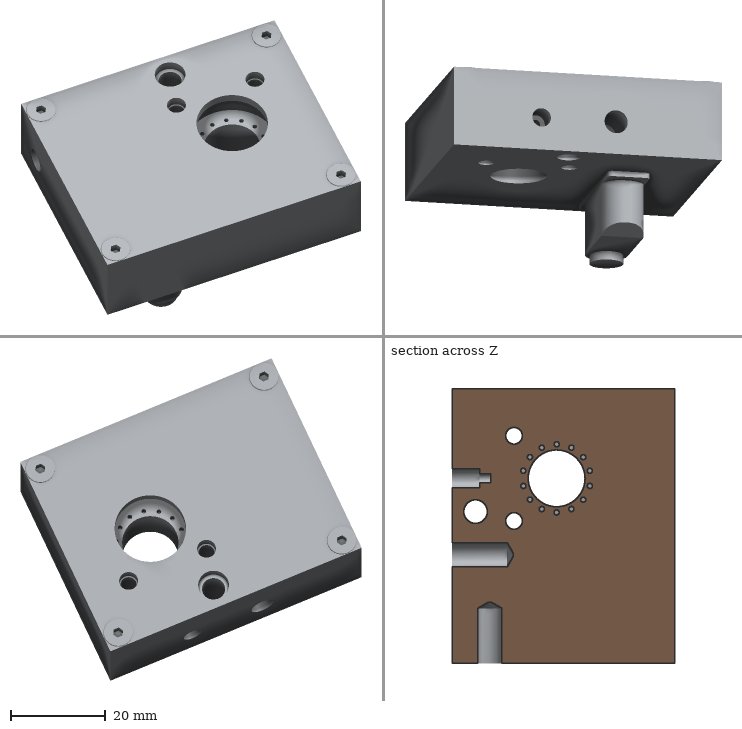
import cadquery as cq
import math

block_x = 47.0
block_y = 58.0
block_z = 17.0
overlap = 0.6

screw_inset = 3.2
screw_head_d = 6.25
screw_head_rise = 0.2
screw_head_chamfer = 0.1
hex_flats = 2.0
hex_depth = 1.75

bore_x = -1.45
bore_y = 10.05
bore_top_d = 15.1
bore_bottom_d = 11.9
top_wall = 2.0
chamber_d = 19.7
chamber_floor_depth = 8.0
recess_left = 4.95
recess_right = 17.1
recess_half_y = 11.15
recess_floor_step = 0.1

ring_count = 14
ring_radius = 7.2
ring_hole_d = 1.0
ring_hole_depth = 1.75

mount_offset = 9.0
mount_d = 3.4
mount_counterbore_d = 4.0
mount_counterbore_depth = 2.2
port_x = -18.55
port_y = 3.0
port_d = 4.9
port_counterbore_d = 6.5
port_counterbore_depth = 2.2

side_hole_z = 7.0
drill_d = 5.0
drill_depth = 11.6
drill_tip_angle = 118.0
front_drill_x = -15.55
left_drill_y = -6.1
pin_hole_d = 2.0
pin_hole_depth = 8.1
pin_counterbore_d = 4.0
pin_counterbore_depth = 5.8

connector_x = 4.45
connector_y = -12.0
connector_width = 9.05
flange_length = 29.0
flange_thickness = 1.15
flange_corner_r = 1.0
body_length = 23.5
body_bottom = 12.45
body_corner_r = 4.05
body_chamfer_height = 2.1
peg_d = 7.2
peg_bottom = 14.3


def cylinder(x, y, z_bottom, z_top, diameter):
    """Vertical cylinder between two heights."""
    return (
        cq.Workplane("XY", origin=(x, y, z_bottom))
        .circle(diameter / 2)
        .extrude(z_top - z_bottom)
    )


def stepped_hole(x, y, diameter, counterbore_d, counterbore_depth):
    """Through hole with a counterbore from the top face."""
    through = cylinder(x, y, 0, block_z, diameter)
    counterbore = cylinder(x, y, block_z - counterbore_depth, block_z, counterbore_d)
    return through.union(counterbore)


def drilled_hole(plane):
    """Blind hole with a conical tip, running along the normal of the plane."""
    radius = drill_d / 2
    tip = radius / math.tan(math.radians(drill_tip_angle / 2))
    shaft = cq.Workplane(plane).circle(radius).extrude(drill_depth)
    cone = cq.Solid.makeCone(
        radius, 0, tip, plane.origin + plane.zDir * drill_depth, plane.zDir
    )
    return shaft.union(cq.Workplane(cone))


def pin_hole(plane):
    """Blind pin hole with a wider entry, running along the normal of the plane."""
    pin = cq.Workplane(plane).circle(pin_hole_d / 2).extrude(pin_hole_depth)
    entry = cq.Workplane(plane).circle(pin_counterbore_d / 2).extrude(pin_counterbore_depth)
    return pin.union(entry)


def left_side_plane(y):
    """Plane on the -X face, its normal pointing into the block."""
    return cq.Plane(origin=(-block_x / 2, y, side_hole_z), xDir=(0, 1, 0), normal=(1, 0, 0))


def main_bore():
    """Bore, chamber, side recess and floor holes as one cutting body."""
    floor_z = block_z - chamber_floor_depth
    ceiling_z = block_z - top_wall
    cutter = cylinder(bore_x, bore_y, 0, block_z, bore_bottom_d)
    cutter = cutter.union(cylinder(bore_x, bore_y, ceiling_z, block_z, bore_top_d))
    cutter = cutter.union(cylinder(bore_x, bore_y, floor_z, ceiling_z, chamber_d))

    recess_z = floor_z - recess_floor_step
    recess = (
        cq.Workplane("XY", origin=(bore_x, bore_y, recess_z))
        .center((recess_left + recess_right) / 2, 0)
        .rect(recess_right - recess_left, 2 * recess_half_y)
        .extrude(ceiling_z - recess_z)
    )
    recess = recess.cut(cylinder(bore_x, bore_y, recess_z, floor_z, chamber_d))
    cutter = cutter.union(recess)

    ring = (
        cq.Workplane("XY", origin=(bore_x, bore_y, floor_z))
        .polarArray(ring_radius, 90, 360, ring_count)
        .circle(ring_hole_d / 2)
        .extrude(-ring_hole_depth)
    )
    return cutter.union(ring)


def screw_head(x, y):
    """Low screw head, sunk into the block so that the two join."""
    head = cylinder(x, y, block_z - overlap, block_z + screw_head_rise, screw_head_d)
    return head.faces(">Z").chamfer(screw_head_chamfer)


def hex_socket(x, y):
    """Hexagon socket with two flats facing +X and -X."""
    across_corners = hex_flats / math.cos(math.radians(30))
    return (
        cq.Workplane("XY", origin=(x, y, block_z + screw_head_rise))
        .transformed(rotate=(0, 0, 30))
        .polygon(6, across_corners)
        .extrude(-hex_depth)
    )


def connector():
    """Flange, rounded body with a sloped lower edge, and a peg."""
    base = cq.Workplane("XY", origin=(connector_x, connector_y, overlap))
    flange = (
        base.rect(flange_length, connector_width)
        .extrude(-(overlap + flange_thickness))
        .edges("|Z")
        .fillet(flange_corner_r)
    )
    body = (
        base.rect(body_length, connector_width)
        .extrude(-(overlap + body_bottom))
        .edges("|Z")
        .fillet(body_corner_r)
    )

    left = connector_x - body_length / 2
    wedge = (
        cq.Workplane("XZ", origin=(0, connector_y, 0))
        .moveTo(left, -body_bottom)
        .lineTo(left + body_corner_r, -body_bottom)
        .lineTo(left, -body_bottom + body_chamfer_height)
        .close()
        .extrude(connector_width / 2, both=True)
    )
    body = body.cut(wedge)

    peg_x = connector_x + body_length / 2 - body_corner_r
    peg = cylinder(peg_x, connector_y, -peg_bottom, overlap - body_bottom, peg_d)
    return flange.union(body).union(peg)


result = cq.Workplane("XY").box(block_x, block_y, block_z, centered=(True, True, False))
result = result.cut(main_bore())
result = result.cut(
    stepped_hole(port_x, port_y, port_d, port_counterbore_d, port_counterbore_depth)
)
for side in (-1, 1):
    result = result.cut(
        stepped_hole(
            bore_x - mount_offset,
            bore_y + side * mount_offset,
            mount_d,
            mount_counterbore_d,
            mount_counterbore_depth,
        )
    )

front_plane = cq.Plane(
    origin=(front_drill_x, -block_y / 2, side_hole_z), xDir=(1, 0, 0), normal=(0, 1, 0)
)
result = result.cut(drilled_hole(front_plane))
result = result.cut(drilled_hole(left_side_plane(left_drill_y)))
result = result.cut(pin_hole(left_side_plane(bore_y)))

screw_x = block_x / 2 - screw_inset
screw_y = block_y / 2 - screw_inset
for x in (-screw_x, screw_x):
    for y in (-screw_y, screw_y):
        result = result.union(screw_head(x, y)).cut(hex_socket(x, y))

result = result.union(connector())